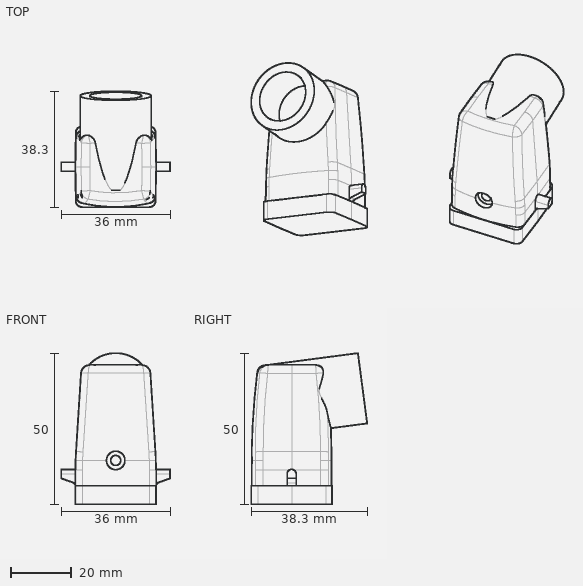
import cadquery as cq
import math

BASE_HALF_X = 13.38
BASE_HALF_Y = 13.37
BASE_HEIGHT = 6.15
BASE_CORNER_RADIUS = 2.2

HOOD_HALF_X = 13.33
HOOD_HALF_Y = 13.24
HOOD_TOP = 46.0
TAPER_START = 14.5
SIDE_DRAFT = 3.65
SIDE_BLEND_RADIUS = 95.0
SIDE_RIDGE_ANGLE = 0.8
CROWN_RADIUS = 52.0
LEAN_RADIUS = 230.0
HOOD_CORNER_RADIUS = 2.7
HOOD_TOP_RADIUS = 2.9

OUTLET_RADIUS = 11.75
OUTLET_BORE_RADIUS = 8.55
OUTLET_BORE_DEPTH = 14.0
OUTLET_TILT = 7.5
OUTLET_END_Y = 23.446
OUTLET_END_Z = 38.33
OUTLET_LENGTH = 29.9

PIN_TIP_X = 18.0
PIN_WIDTH = 3.0
PIN_TOP = 11.55
PIN_TIP_BOTTOM = 8.55
PIN_ROOT_BOTTOM = 6.9
PIN_ROOT_RADIUS = 1.0
PIN_ROOT_X = BASE_HALF_X

HOLE_Z = TAPER_START
COUNTERBORE_DIAMETER = 6.1
COUNTERBORE_DEPTH = 2.0
HOLE_DIAMETER = 3.3
HOLE_DEPTH = 3.0

CORNER_ZONE_START = 9.0
CUT_MARGIN = 20.0
LEAN_SWEEP = 15.0
EDGE_REACH = 0.1


def ridged(slab):
    """Intersect a slab with itself swung both ways about Z, giving its X walls a ridge at y = 0."""
    swung_left = slab.rotate((0, 0, 0), (0, 0, 1), SIDE_RIDGE_ANGLE)
    swung_right = slab.rotate((0, 0, 0), (0, 0, 1), -SIDE_RIDGE_ANGLE)
    return swung_left.intersect(swung_right)


def corner_zone(x_sign, y_sign):
    """Selector for edges centred in one corner quadrant, clear of the walls' middles."""
    near = CORNER_ZONE_START
    far = CORNER_ZONE_START + CUT_MARGIN
    return cq.selectors.BoxSelector(
        (x_sign * near, y_sign * near, 0), (x_sign * far, y_sign * far, HOOD_TOP)
    )


CORNER_EDGES = corner_zone(1, 1) + corner_zone(1, -1) + corner_zone(-1, 1) + corner_zone(-1, -1)


def make_base():
    """Collar around the foot of the hood, with rounded upright corners."""
    length = 2 * (BASE_HALF_Y + CUT_MARGIN)
    slab = cq.Workplane("XY").box(2 * BASE_HALF_X, length, BASE_HEIGHT, centered=(True, True, False))
    limit = cq.Workplane("XY").box(
        2 * (BASE_HALF_X + CUT_MARGIN), 2 * BASE_HALF_Y, BASE_HEIGHT, centered=(True, True, False)
    )
    collar = ridged(slab).intersect(limit)
    return collar.edges(CORNER_EDGES).fillet(BASE_CORNER_RADIUS)


def make_side_slab():
    """Body between the two X walls: upright, then rounded over into the draft."""
    draft = math.radians(SIDE_DRAFT)
    tangent = SIDE_BLEND_RADIUS * math.tan(draft / 2)
    blend_start = TAPER_START - tangent
    blend_end_x = HOOD_HALF_X - tangent * math.sin(draft)
    blend_end_z = TAPER_START + tangent * math.cos(draft)
    blend_mid_x = HOOD_HALF_X - SIDE_BLEND_RADIUS * (1 - math.cos(draft / 2))
    blend_mid_z = blend_start + SIDE_BLEND_RADIUS * math.sin(draft / 2)
    top_x = HOOD_HALF_X - (HOOD_TOP - TAPER_START) * math.tan(draft)
    return (
        cq.Workplane("XZ")
        .moveTo(-HOOD_HALF_X, 0)
        .lineTo(HOOD_HALF_X, 0)
        .lineTo(HOOD_HALF_X, blend_start)
        .threePointArc((blend_mid_x, blend_mid_z), (blend_end_x, blend_end_z))
        .lineTo(top_x, HOOD_TOP)
        .lineTo(-top_x, HOOD_TOP)
        .lineTo(-blend_end_x, blend_end_z)
        .threePointArc((-blend_mid_x, blend_mid_z), (-HOOD_HALF_X, blend_start))
        .close()
        .extrude(HOOD_HALF_Y + CUT_MARGIN, both=True)
    )


def make_front_limit():
    """Body behind the front wall: crowned across X, upright below and leaning back above."""
    half_x = HOOD_HALF_X + HOOD_CORNER_RADIUS
    crown_drop = CROWN_RADIUS - math.sqrt(CROWN_RADIUS**2 - half_x**2)
    back_y = HOOD_HALF_Y + CUT_MARGIN
    outline = (
        cq.Sketch()
        .segment((half_x, back_y), (-half_x, back_y))
        .segment((-half_x, -HOOD_HALF_Y + crown_drop))
        .arc((0, -HOOD_HALF_Y), (half_x, -HOOD_HALF_Y + crown_drop))
        .close()
        .assemble()
    )
    lower = cq.Workplane("XY").placeSketch(outline).extrude(TAPER_START)
    axis_y = LEAN_RADIUS - HOOD_HALF_Y
    upper = (
        cq.Workplane("XY", origin=(0, 0, TAPER_START))
        .placeSketch(outline)
        .revolve(LEAN_SWEEP, (0, axis_y, 0), (-1, axis_y, 0))
    )
    return lower.union(upper)


def make_hood():
    """Tapering body between the X and Y walls, rounded at its corners and around its top."""
    front = make_front_limit()
    back = front.mirror("XZ")
    hood = ridged(make_side_slab()).intersect(front).intersect(back)
    hood = hood.edges(CORNER_EDGES).fillet(HOOD_CORNER_RADIUS)
    return hood.faces(">Z").edges().fillet(HOOD_TOP_RADIUS)


def make_outlet_cylinder(radius, length):
    """Cylinder running from the open end of the outlet down into the hood."""
    tilt = math.radians(OUTLET_TILT)
    inward = cq.Vector(0, -math.cos(tilt), -math.sin(tilt))
    end_centre = cq.Vector(0, OUTLET_END_Y, OUTLET_END_Z)
    return cq.Workplane(cq.Solid.makeCylinder(radius, length, end_centre, inward))


def make_pins():
    """Bar through the hood whose two ends form the latch pins: round on top, sloped beneath."""
    round_radius = PIN_WIDTH / 2
    root_edges = cq.selectors.BoxSelector(
        (-PIN_ROOT_X - EDGE_REACH, -EDGE_REACH, PIN_ROOT_BOTTOM - EDGE_REACH),
        (PIN_ROOT_X + EDGE_REACH, EDGE_REACH, PIN_ROOT_BOTTOM + EDGE_REACH),
    )
    side_outline = (
        cq.Workplane("XZ")
        .moveTo(-PIN_ROOT_X, BASE_HEIGHT)
        .lineTo(PIN_ROOT_X, BASE_HEIGHT)
        .lineTo(PIN_ROOT_X, PIN_ROOT_BOTTOM)
        .lineTo(PIN_TIP_X, PIN_TIP_BOTTOM)
        .lineTo(PIN_TIP_X, PIN_TOP)
        .lineTo(-PIN_TIP_X, PIN_TOP)
        .lineTo(-PIN_TIP_X, PIN_TIP_BOTTOM)
        .lineTo(-PIN_ROOT_X, PIN_ROOT_BOTTOM)
        .close()
        .extrude(round_radius, both=True)
        .edges(root_edges)
        .fillet(PIN_ROOT_RADIUS)
    )
    end_outline = (
        cq.Workplane("YZ")
        .moveTo(-round_radius, BASE_HEIGHT)
        .lineTo(round_radius, BASE_HEIGHT)
        .lineTo(round_radius, PIN_TOP - round_radius)
        .threePointArc((0, PIN_TOP), (-round_radius, PIN_TOP - round_radius))
        .close()
        .extrude(PIN_TIP_X, both=True)
    )
    return side_outline.intersect(end_outline)


def make_stepped_hole():
    """Screw hole entering the front wall along +Y, counterbored at its mouth."""
    mouth = cq.Workplane("XZ", origin=(0, -HOOD_HALF_Y, HOLE_Z))
    counterbore = mouth.circle(COUNTERBORE_DIAMETER / 2).extrude(-COUNTERBORE_DEPTH)
    hole = mouth.circle(HOLE_DIAMETER / 2).extrude(-(COUNTERBORE_DEPTH + HOLE_DEPTH))
    return counterbore.union(hole)


body = make_base().union(make_hood()).union(make_outlet_cylinder(OUTLET_RADIUS, OUTLET_LENGTH))
body = body.union(make_pins())
body = body.cut(make_outlet_cylinder(OUTLET_BORE_RADIUS, OUTLET_BORE_DEPTH))
result = body.cut(make_stepped_hole())